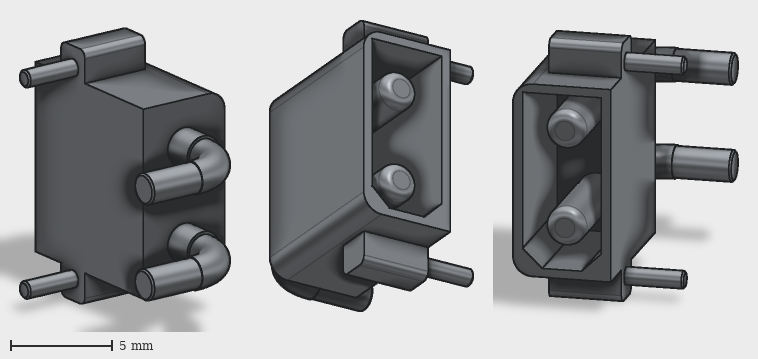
import cadquery as cq


total_length = 13.95
total_height = 13.3
total_depth = 8.0

housing_length = 9.0
housing_depth = 5.0
housing_height = 9.9
back_edge_radius = 1.0
lead_length = total_depth - housing_depth

cavity_length = 7.0
cavity_width = 4.0
cavity_height = 9.0
key_width = 1.0
key_height = 0.96

tab_width = 2.0
tab_depth = 3.7
tab_center_x = 3.12
tab_edge_radius = 0.4
peg_diameter = 0.9
peg_spacing = 11.02
lead_end_chamfer = 0.1

contact_spacing = 5.0
contact_y = housing_depth / 2
pin_diameter = 2.0
pin_tip_x = 0.57
pin_tip_radius = pin_diameter / 4
bend_diameter = 1.7
tail_diameter = 1.6
tail_x = total_length - bend_diameter / 2
bend_radius = contact_y
pin_end_x = tail_x - bend_radius


def contact_heights():
    return [-contact_spacing / 2, contact_spacing / 2]


def peg_heights():
    return [-peg_spacing / 2, peg_spacing / 2]


def make_shell():
    shell = cq.Workplane("XY").box(
        housing_length, housing_depth, housing_height, centered=(False, False, True)
    )
    return shell.edges(">Y and |X").fillet(back_edge_radius)


def make_tabs():
    """One bar across the housing whose two ends stand out as the tabs."""
    bar = cq.Workplane("XY").box(tab_width, tab_depth, total_height, centered=(True, False, True))
    bar = bar.edges("|Y").fillet(tab_edge_radius)
    return bar.translate((tab_center_x, 0, 0))


def make_cavity():
    half_width = cavity_width / 2
    half_height = cavity_height / 2
    outline = [
        (-half_width, half_height),
        (half_width, half_height),
        (half_width, -half_height + key_height),
        (half_width - key_width, -half_height),
        (-half_width + key_width, -half_height),
        (-half_width, -half_height + key_height),
    ]
    cavity = cq.Workplane("YZ").polyline(outline).close().extrude(cavity_length)
    return cavity.translate((0, contact_y, 0))


def make_housing():
    housing = make_shell().union(make_tabs()).cut(make_cavity())
    bores = (
        cq.Workplane("YZ")
        .pushPoints([(contact_y, z) for z in contact_heights()])
        .circle(pin_diameter / 2)
        .extrude(housing_length)
    )
    return housing.cut(bores)


def make_lead(diameter, x, z):
    """Round lead running from the board face to its chamfered end."""
    lead = cq.Workplane("XZ").circle(diameter / 2).extrude(lead_length)
    lead = lead.faces("<Y").chamfer(lead_end_chamfer)
    return lead.translate((x, 0, z))


def make_contact(z):
    """Mating pin, quarter bend and solder tail in one piece."""
    pin = cq.Workplane("YZ").circle(pin_diameter / 2).extrude(pin_end_x - pin_tip_x)
    pin = pin.faces("<X").edges().fillet(pin_tip_radius)
    pin = pin.translate((pin_tip_x, contact_y, z))

    bend_start = cq.Workplane("YZ", origin=(pin_end_x, contact_y, z)).circle(bend_diameter / 2)
    bend = bend_start.revolve(90, (-bend_radius, 0), (-bend_radius, -1))

    return pin.union(bend).union(make_lead(tail_diameter, tail_x, z))


housing = make_housing()
contacts = [make_contact(z) for z in contact_heights()]
pegs = [make_lead(peg_diameter, tab_center_x, z) for z in peg_heights()]

result = cq.Compound.makeCompound([
    housing.val(),
    *[contact.val() for contact in contacts],
    *[peg.val() for peg in pegs],
])